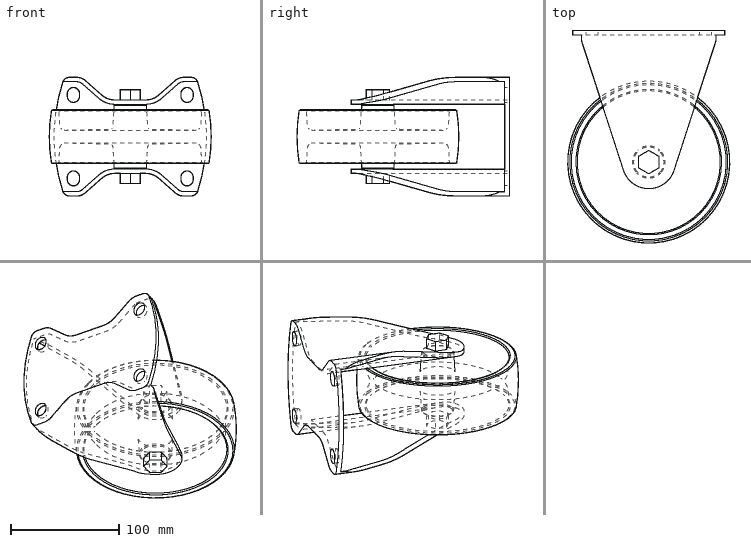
import cadquery as cq
import math


overall_length = 196.8

wheel_radius = 75.0
wheel_half_width = 25.0
tread_edge_radius = 73.0
tread_chamfer_height = 0.8
rim_outer_radius = 71.6
rim_inner_radius = 67.3
rim_chamfer = 1.2
rim_foot_radius = 65.3
web_rim_half_thickness = 6.0
web_hub_half_thickness = 6.9
web_fillet = 5.1
hub_end_radius = 15.0
hub_foot_radius = 16.1
hub_chamfer = 1.0
hub_fillet = 2.8

fork_height = 110.0
fork_half_height = fork_height / 2
plate_back_y = overall_length - wheel_radius
plate_thickness = 4.5
plate_half_width = 70.5
plate_side_radius = 163.3
plate_corner_radius = 6.9
sheet_thickness = 4.1
leg_outer_z = 34.0
leg_inner_z = leg_outer_z - sheet_thickness
leg_tip_radius = 24.5
leg_root_half_width = 62.2
leg_straight_depth = 9.8
fork_length = plate_back_y + leg_tip_radius

valley_half_width = 14.4
valley_radius = 18.1
crest_start_x = 49.5
crest_radius = 12.2

slot_x = 52.5
slot_z = 38.5
slot_width = 11.0
slot_height = 13.5

bolt_across_flats = 18.7
bolt_end_z = 43.5


def bend(center, radius, angle_from, angle_to):
    """Middle and end point of an arc, angles in radians."""
    angles = ((angle_from + angle_to) / 2, angle_to)
    return [(center[0] + radius * math.cos(a), center[1] + radius * math.sin(a)) for a in angles]


def mirrored(point):
    return (-point[0], point[1])


def wave_outline(inset):
    """Open upper outline of the fork across its width, moved inward by the inset."""
    valley = (valley_half_width, leg_outer_z + valley_radius)
    crest = (crest_start_x, fork_half_height - crest_radius)
    run = crest[0] - valley[0]
    rise = crest[1] - valley[1]
    slope = math.atan2(rise, run) + math.asin((valley_radius + crest_radius) / math.hypot(run, rise))
    down = -math.pi / 2
    up = math.pi / 2
    low_mid, low_end = bend(valley, valley_radius + inset, down, down + slope)
    high_start = bend(crest, crest_radius - inset, up, up + slope)[1]
    high_mid, high_end = bend(crest, crest_radius - inset, up + slope, up)
    valley_end = (valley_half_width, leg_outer_z - inset)
    end = (plate_half_width, fork_half_height - inset)
    return (
        cq.Workplane("XZ", origin=(0, plate_back_y, 0))
        .moveTo(*mirrored(end))
        .lineTo(*mirrored(high_end))
        .threePointArc(mirrored(high_mid), mirrored(high_start))
        .lineTo(*mirrored(low_end))
        .threePointArc(mirrored(low_mid), mirrored(valley_end))
        .lineTo(*valley_end)
        .threePointArc(low_mid, low_end)
        .lineTo(*high_start)
        .threePointArc(high_mid, high_end)
        .lineTo(*end)
    )


def waved_prism(inset):
    """Prism between the upper wave and its mirror image."""
    upper = (
        wave_outline(inset)
        .lineTo(plate_half_width, 0)
        .lineTo(-plate_half_width, 0)
        .close()
        .extrude(fork_length)
    )
    return upper.union(upper.mirror("XY"))


def make_fork_block():
    """Solid block that has the outline of the mounting plate along the whole fork."""
    plate_corner_x = plate_half_width - plate_side_radius + math.sqrt(
        plate_side_radius**2 - fork_half_height**2
    )
    block = waved_prism(0)
    for side in (-1, 1):
        side_cylinder = (
            cq.Workplane("XZ", origin=(0, plate_back_y, 0))
            .center(side * (plate_half_width - plate_side_radius), 0)
            .circle(plate_side_radius)
            .extrude(fork_length)
        )
        block = block.intersect(side_cylinder)
    for x in (-plate_corner_x, plate_corner_x):
        for z in (-fork_half_height, fork_half_height):
            corner = cq.selectors.NearestToPointSelector((x, plate_back_y - fork_length / 2, z))
            block = block.edges(corner).fillet(plate_corner_radius)
    return block


def make_legs(block):
    """Waved sheet legs, straight at the root, then tapering tangent to the round tip."""
    taper_start_y = plate_back_y - leg_straight_depth
    start_distance = math.hypot(leg_root_half_width, taper_start_y)
    tangent_angle = math.atan2(taper_start_y, leg_root_half_width) - math.acos(leg_tip_radius / start_distance)
    tip_x = leg_tip_radius * math.cos(tangent_angle)
    tip_y = leg_tip_radius * math.sin(tangent_angle)
    silhouette = (
        cq.Workplane("XY", origin=(0, 0, -fork_half_height))
        .moveTo(-leg_root_half_width, plate_back_y)
        .lineTo(-leg_root_half_width, taper_start_y)
        .lineTo(-tip_x, tip_y)
        .threePointArc((0, -leg_tip_radius), (tip_x, tip_y))
        .lineTo(leg_root_half_width, taper_start_y)
        .lineTo(leg_root_half_width, plate_back_y)
        .close()
        .extrude(fork_height)
    )
    cavity = waved_prism(sheet_thickness)
    return block.intersect(silhouette).cut(cavity)


def make_plate(block):
    """Mounting plate with four upright slots."""
    plate_slab = (
        cq.Workplane("XZ", origin=(0, plate_back_y, 0))
        .rect(2 * plate_half_width, fork_height)
        .extrude(plate_thickness)
    )
    slots = (
        cq.Workplane("XZ", origin=(0, plate_back_y, 0))
        .rect(2 * slot_x, 2 * slot_z, forConstruction=True)
        .vertices()
        .slot2D(slot_height, slot_width, 90)
        .extrude(plate_thickness)
    )
    return block.intersect(plate_slab).cut(slots)


def make_wheel():
    """Crowned tread ring around a symmetric core of rim, web and hub."""
    tread_edge_z = wheel_half_width - tread_chamfer_height
    tread = (
        cq.Workplane("YZ")
        .moveTo(rim_outer_radius, -wheel_half_width)
        .lineTo(tread_edge_radius, -tread_edge_z)
        .threePointArc((wheel_radius, 0), (tread_edge_radius, tread_edge_z))
        .lineTo(rim_outer_radius, wheel_half_width)
        .close()
        .revolve(360, (0, 0, 0), (0, 1, 0))
    )
    upper_core = (
        cq.Workplane("YZ")
        .lineTo(rim_outer_radius, 0)
        .lineTo(rim_outer_radius, wheel_half_width)
        .lineTo(rim_inner_radius, wheel_half_width)
        .lineTo(rim_inner_radius - rim_chamfer, wheel_half_width - rim_chamfer)
        .lineTo(rim_foot_radius, web_rim_half_thickness + web_fillet)
        .radiusArc((rim_foot_radius - web_fillet, web_rim_half_thickness), web_fillet)
        .lineTo(hub_foot_radius + hub_fillet, web_hub_half_thickness)
        .radiusArc((hub_foot_radius, web_hub_half_thickness + hub_fillet), hub_fillet)
        .lineTo(hub_end_radius, leg_inner_z - hub_chamfer)
        .lineTo(hub_end_radius - hub_chamfer, leg_inner_z)
        .lineTo(0, leg_inner_z)
        .close()
        .revolve(360, (0, 0, 0), (0, 1, 0))
    )
    return tread.union(upper_core).union(upper_core.mirror("XY"))


def make_bolt():
    """Hexagonal bolt heads on both legs, two corners along Y."""
    across_corners = bolt_across_flats / math.cos(math.pi / 6)
    return (
        cq.Workplane("XY", origin=(0, 0, -bolt_end_z))
        .transformed(rotate=(0, 0, 90))
        .polygon(6, across_corners)
        .extrude(2 * bolt_end_z)
    )


fork_block = make_fork_block()
fork = make_plate(fork_block).union(make_legs(fork_block))
result = fork.union(make_wheel()).union(make_bolt())